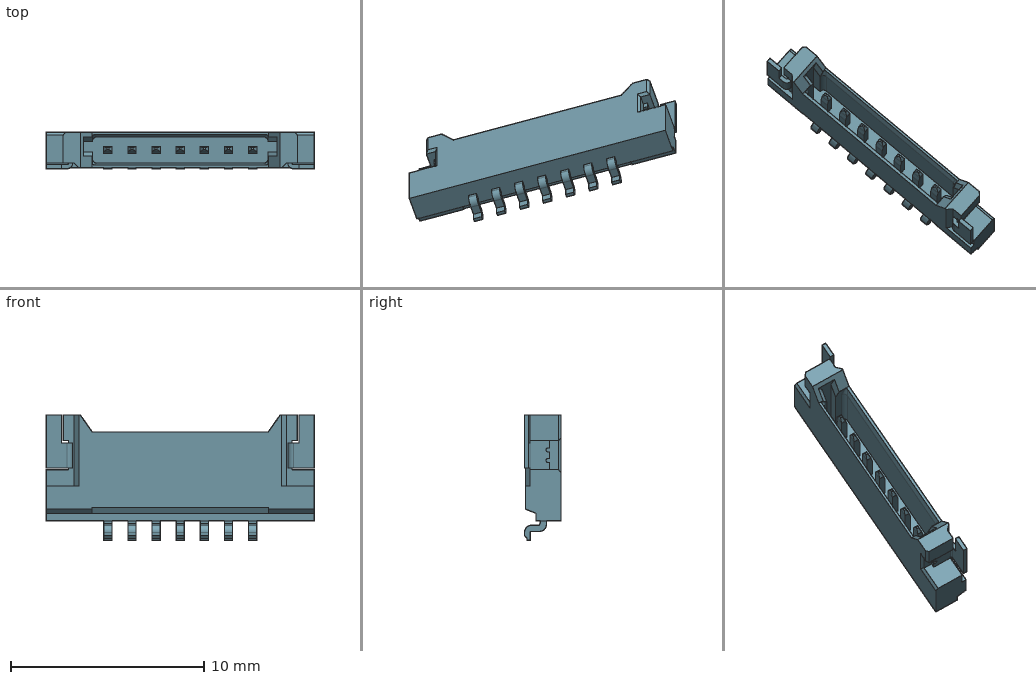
import cadquery as cq
import math


HOUSING_LENGTH = 13.9
HOUSING_DEPTH = 1.85
HOUSING_HEIGHT = 5.5
HALF_LENGTH = HOUSING_LENGTH / 2
CUT_MARGIN = 1.0

WALL_TOP = 4.62
TOWER_TOP_INNER_X = 5.18
TOWER_FOOT_INNER_X = 4.56

SHOULDER_TOP = 2.655
NOTCH_TOP = 4.16
NOTCH_FLOOR_X = 5.57
TAB_OUTER_X = 6.07
BACK_CHAMFER = 0.14

RECESS_DEPTH = 0.25
RECESS_BOTTOM = 1.82
RECESS_FLOOR_X = 5.5
RECESS_MOUTH_X = RECESS_FLOOR_X - RECESS_DEPTH

FOOT_Y = 0.54
RELIEF_BACK_Z = 0.395
RELIEF_FRONT_Z = 0.61
MIDDLE_RELIEF_TOP_Z = 0.69
MIDDLE_RELIEF_SLOPE_Y = 0.38
MIDDLE_RELIEF_HALF_LENGTH = 4.56

CAVITY_HALF_LENGTH = 4.55
CAVITY_FRONT_Y = 0.25
CAVITY_BACK_Y = 1.6
CAVITY_FLOOR_Z = 1.2
CAVITY_CORNER_RADIUS = 0.22
LEAD_IN_FRONT_Y = 0.16
LEAD_IN_BACK_Y = 1.72
LEAD_IN_HEIGHT = 0.46
LEAD_IN_CORNER_RADIUS = 0.08

POCKET_END_X = 5.02
POCKET_FRONT_Y = 0.83
POCKET_BACK_Y = 1.37
POCKET_FLARE = 0.22
POCKET_FLARE_DEPTH = 0.35

CONTACT_COUNT = 7
CONTACT_PITCH = 1.25
CONTACT_WIDTH = 0.43
CONTACT_THICKNESS = 0.34
POST_FRONT_Y = 0.76
POST_BACK_Y = POST_FRONT_Y + CONTACT_THICKNESS
POST_TOP = 3.2
POST_TAPER_BOTTOM = 2.7
POST_TOP_FRONT_Y = 0.85
TIP_HEIGHT = 0.3
TIP_SIZE = 0.1
TIP_Y = 1.0
LEG_TOP_Z = -0.21
LEG_CREASE_HEIGHT = 0.085
LEG_CREASE_DEPTH = 0.05
LEG_BOTTOM_Z = LEG_TOP_Z - CONTACT_THICKNESS
LEG_OUTER_RADIUS = 0.385
LEG_FRONT_Y = -0.05
FOOT_BACK_Y = 0.26
FOOT_TIP_Y = 0.08
FOOT_BEVEL_TOP_Z = -0.755
FOOT_BEVEL_BOTTOM_Z = -0.9
CONTACT_BOTTOM_Z = -1.0

TAB_THICKNESS = 0.22
TAB_FRONT_Y = -0.05
TAB_BOTTOM_Z = 2.74
TAB_NECK_TOP_Z = 4.05
TAB_BLADE_INNER_X = 6.15
TAB_BEND_RADIUS = 0.3
TAB_INNER_BEND_RADIUS = TAB_BEND_RADIUS - TAB_THICKNESS
TAIL_BACK_Y = 1.26
BARB_WIDTH = 0.21
BARB_LENGTH = 0.19
BARB_HEIGHTS = (3.135, 3.68)


def box(x_range, y_range, z_range):
    """Box between pairs of limits on each axis."""
    limits = (x_range, y_range, z_range)
    sizes = [high - low for low, high in limits]
    corner = [low for low, high in limits]
    return cq.Workplane("XY").box(*sizes, centered=False).translate(tuple(corner))


def both_ends(solid):
    """A feature of the -X end joined with its mirror image at the +X end."""
    return solid.union(solid.mirror("YZ"))


def housing_block():
    """Front outline with towers and side notches, its rear end edges chamfered."""
    left_half = [
        (-HALF_LENGTH, 0),
        (-HALF_LENGTH, SHOULDER_TOP),
        (-NOTCH_FLOOR_X, SHOULDER_TOP),
        (-NOTCH_FLOOR_X, NOTCH_TOP),
        (-TAB_OUTER_X, NOTCH_TOP),
        (-TAB_OUTER_X, HOUSING_HEIGHT),
        (-TOWER_TOP_INNER_X, HOUSING_HEIGHT),
        (-TOWER_FOOT_INNER_X, WALL_TOP),
    ]
    right_half = [(-x, z) for x, z in reversed(left_half)]
    outline = cq.Workplane("XZ").polyline(left_half + right_half).close()
    block = outline.extrude(-HOUSING_DEPTH)

    edge_reach = 0.01
    for side in (-1, 1):
        end_x = sorted((side * (NOTCH_FLOOR_X - edge_reach), side * (HALF_LENGTH + edge_reach)))
        selector = cq.selectors.BoxSelector(
            (end_x[0], HOUSING_DEPTH - edge_reach, SHOULDER_TOP - edge_reach),
            (end_x[1], HOUSING_DEPTH + edge_reach, HOUSING_HEIGHT - edge_reach),
            boundingbox=False,
        )
        block = block.edges(selector).chamfer(BACK_CHAMFER)
    return block


def front_recess():
    """Recess for one solder tab, with a slanted inner side."""
    return (
        cq.Workplane("XY", origin=(0, 0, RECESS_BOTTOM))
        .moveTo(-HALF_LENGTH, 0)
        .lineTo(-RECESS_MOUTH_X, 0)
        .lineTo(-RECESS_FLOOR_X, RECESS_DEPTH)
        .lineTo(-HALF_LENGTH, RECESS_DEPTH)
        .close()
        .extrude(HOUSING_HEIGHT - RECESS_BOTTOM)
    )


def lower_front_relief(half_length, ceiling):
    """Undercut along the lower front edge, below ceiling points listed from back to front."""
    outline = [(0, 0), (FOOT_Y, 0), (FOOT_Y, RELIEF_BACK_Z)] + ceiling
    start = cq.Workplane("YZ", origin=(-half_length, 0, 0))
    return start.polyline(outline).close().extrude(2 * half_length)


def cavity_section(front_y, back_y, corner_radius):
    """Rounded rectangle between two Y limits, as long as the cavity."""
    section = cq.Sketch().rect(2 * CAVITY_HALF_LENGTH, back_y - front_y)
    section = section.vertices().fillet(corner_radius)
    return section.moved(cq.Location(cq.Vector(0, (front_y + back_y) / 2, 0)))


def cavity():
    """Mating cavity open at the top, flared along the rim of the long walls."""
    lower = cavity_section(CAVITY_FRONT_Y, CAVITY_BACK_Y, CAVITY_CORNER_RADIUS)
    upper = cavity_section(LEAD_IN_FRONT_Y, LEAD_IN_BACK_Y, LEAD_IN_CORNER_RADIUS)
    straight = cq.Workplane("XY", origin=(0, 0, CAVITY_FLOOR_Z)).placeSketch(lower)
    straight = straight.extrude(HOUSING_HEIGHT - CAVITY_FLOOR_Z)
    raised_upper = upper.moved(cq.Location(cq.Vector(0, 0, LEAD_IN_HEIGHT)))
    lead_in = cq.Workplane("XY", origin=(0, 0, WALL_TOP - LEAD_IN_HEIGHT))
    lead_in = lead_in.placeSketch(lower, raised_upper).loft(ruled=True)
    return straight.union(lead_in)


def latch_pocket():
    """Pocket in one end wall; its mouth flares along the tower slope."""
    shaft = box(
        (-POCKET_END_X, -CAVITY_HALF_LENGTH + CAVITY_CORNER_RADIUS),
        (POCKET_FRONT_Y, POCKET_BACK_Y),
        (CAVITY_FLOOR_Z, HOUSING_HEIGHT),
    )
    slope = (HOUSING_HEIGHT - WALL_TOP) / (TOWER_TOP_INNER_X - TOWER_FOOT_INNER_X)
    length = POCKET_END_X - CAVITY_HALF_LENGTH
    rise = slope * length
    start_z = WALL_TOP + slope * (CAVITY_HALF_LENGTH - TOWER_FOOT_INNER_X)
    mouth_section = [
        (POCKET_FRONT_Y, -POCKET_FLARE_DEPTH),
        (POCKET_FRONT_Y - POCKET_FLARE, 0),
        (POCKET_FRONT_Y - POCKET_FLARE, CUT_MARGIN),
        (POCKET_BACK_Y + POCKET_FLARE, CUT_MARGIN),
        (POCKET_BACK_Y + POCKET_FLARE, 0),
        (POCKET_BACK_Y, -POCKET_FLARE_DEPTH),
    ]
    mouth = (
        cq.Workplane("YZ", origin=(-POCKET_END_X, 0, start_z))
        .polyline([(y, z + rise) for y, z in mouth_section])
        .close()
        .workplane(offset=length)
        .polyline(mouth_section)
        .close()
        .loft(ruled=True)
    )
    return shaft.union(mouth)


def housing():
    body = housing_block()
    body = body.cut(both_ends(front_recess()))
    sloped_ceiling = [(0, RELIEF_FRONT_Z)]
    body = body.cut(lower_front_relief(HALF_LENGTH, sloped_ceiling))
    raised_ceiling = [(MIDDLE_RELIEF_SLOPE_Y, MIDDLE_RELIEF_TOP_Z), (0, MIDDLE_RELIEF_TOP_Z)]
    body = body.cut(lower_front_relief(MIDDLE_RELIEF_HALF_LENGTH, raised_ceiling))
    body = body.cut(cavity())
    return body.cut(both_ends(latch_pocket()))


def contact(x):
    """One contact: tapered post inside the cavity and a bent leg under the housing."""
    leg_bend_y = POST_BACK_Y - LEG_OUTER_RADIUS
    foot_bend_y = LEG_FRONT_Y + LEG_OUTER_RADIUS
    diagonal = LEG_OUTER_RADIUS * math.sqrt(0.5)
    leg_bend_z = LEG_BOTTOM_Z + LEG_OUTER_RADIUS
    foot_bend_z = LEG_TOP_Z - LEG_OUTER_RADIUS
    strip = (
        cq.Workplane("YZ", origin=(x - CONTACT_WIDTH / 2, 0, 0))
        .moveTo(POST_TOP_FRONT_Y, POST_TOP)
        .lineTo(POST_FRONT_Y, POST_TAPER_BOTTOM)
        .lineTo(POST_FRONT_Y, LEG_TOP_Z + LEG_CREASE_HEIGHT)
        .lineTo(POST_FRONT_Y - LEG_CREASE_DEPTH, LEG_TOP_Z)
        .lineTo(foot_bend_y, LEG_TOP_Z)
        .threePointArc((foot_bend_y - diagonal, foot_bend_z + diagonal), (LEG_FRONT_Y, foot_bend_z))
        .lineTo(LEG_FRONT_Y, FOOT_BEVEL_TOP_Z)
        .lineTo(FOOT_TIP_Y, FOOT_BEVEL_BOTTOM_Z)
        .lineTo(FOOT_TIP_Y, CONTACT_BOTTOM_Z)
        .lineTo(FOOT_BACK_Y, CONTACT_BOTTOM_Z)
        .lineTo(FOOT_BACK_Y, LEG_BOTTOM_Z)
        .lineTo(leg_bend_y, LEG_BOTTOM_Z)
        .threePointArc((leg_bend_y + diagonal, leg_bend_z - diagonal), (POST_BACK_Y, leg_bend_z))
        .lineTo(POST_BACK_Y, POST_TOP)
        .close()
        .extrude(CONTACT_WIDTH)
    )
    post_top_y = (POST_TOP_FRONT_Y + POST_BACK_Y) / 2
    tip = (
        cq.Workplane("XY", origin=(x, post_top_y, POST_TOP))
        .rect(CONTACT_WIDTH, POST_BACK_Y - POST_TOP_FRONT_Y)
        .workplane(offset=TIP_HEIGHT)
        .center(0, TIP_Y - post_top_y)
        .rect(TIP_SIZE, TIP_SIZE)
        .loft(ruled=True)
    )
    return strip.union(tip)


def solder_tab():
    """Solder tab of the -X end: front blade, rounded bend and tail on the notch floor."""
    tail_outer_x = -NOTCH_FLOOR_X - TAB_THICKNESS
    tail_inner_x = -NOTCH_FLOOR_X
    bend_x = tail_inner_x - TAB_BEND_RADIUS
    bend_y = TAB_FRONT_Y + TAB_BEND_RADIUS
    diagonal = TAB_BEND_RADIUS * math.sqrt(0.5)
    inner_diagonal = TAB_INNER_BEND_RADIUS * math.sqrt(0.5)
    blade_back_y = TAB_FRONT_Y + TAB_THICKNESS
    neck = (
        cq.Workplane("XY", origin=(0, 0, TAB_BOTTOM_Z))
        .moveTo(-HALF_LENGTH, TAB_FRONT_Y)
        .lineTo(bend_x, TAB_FRONT_Y)
        .threePointArc((bend_x + diagonal, bend_y - diagonal), (tail_inner_x, bend_y))
        .lineTo(tail_outer_x, bend_y)
        .threePointArc((bend_x + inner_diagonal, bend_y - inner_diagonal), (bend_x, blade_back_y))
        .lineTo(-HALF_LENGTH, blade_back_y)
        .close()
        .extrude(TAB_NECK_TOP_Z - TAB_BOTTOM_Z)
    )
    blade = box(
        (-HALF_LENGTH, -TAB_BLADE_INNER_X),
        (TAB_FRONT_Y, blade_back_y),
        (TAB_BOTTOM_Z, HOUSING_HEIGHT),
    )
    tail = box(
        (tail_outer_x, tail_inner_x),
        (RECESS_DEPTH, TAIL_BACK_Y),
        (SHOULDER_TOP, NOTCH_TOP),
    )
    barb_radius = BARB_WIDTH / 2
    barb_round_y = TAIL_BACK_Y - BARB_LENGTH + barb_radius
    for barb_z in BARB_HEIGHTS:
        barb_notch = (
            cq.Workplane("YZ", origin=(tail_outer_x, 0, 0))
            .moveTo(TAIL_BACK_Y, barb_z - barb_radius)
            .lineTo(barb_round_y, barb_z - barb_radius)
            .threePointArc((TAIL_BACK_Y - BARB_LENGTH, barb_z), (barb_round_y, barb_z + barb_radius))
            .lineTo(TAIL_BACK_Y, barb_z + barb_radius)
            .close()
            .extrude(TAB_THICKNESS)
        )
        tail = tail.cut(barb_notch)
    return neck.union(blade).union(tail)


result = housing().union(both_ends(solder_tab()))
for number in range(CONTACT_COUNT):
    offset_from_middle = number - (CONTACT_COUNT - 1) / 2
    result = result.union(contact(offset_from_middle * CONTACT_PITCH))